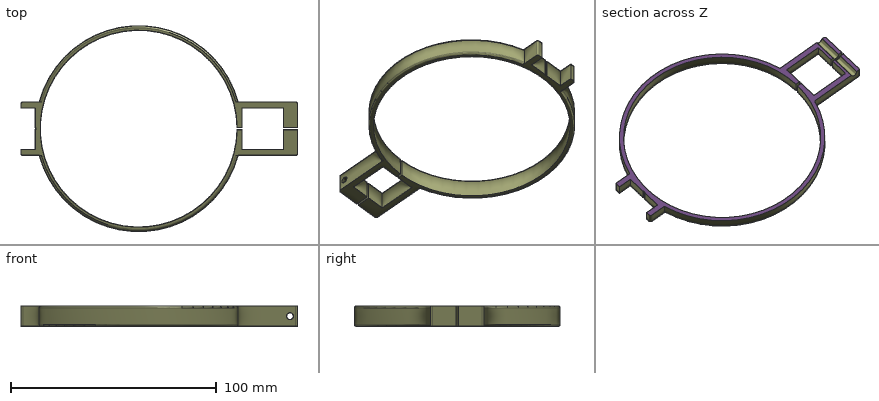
import cadquery as cq

height = 10.0
ring_outer_radius = 50.0
ring_inner_radius = 47.75
ring_edge_fillet = 1.0

tube_width = 20.0
arm_thickness = 3.0
block_width = tube_width + 2 * arm_thickness

tube_clearance = 0.25

split_gap = 1.0

fork_floor_x = -(ring_outer_radius + tube_clearance)
fork_length = 7.0
fork_end_x = fork_floor_x - fork_length
fork_corner_radius = 1.0

clamp_pocket_start_x = ring_outer_radius + tube_clearance
clamp_pocket_end_x = clamp_pocket_start_x + tube_width
clamp_end_wall = 7.0
clamp_end_x = clamp_pocket_end_x + clamp_end_wall
clamp_corner_radius = 1.0
screw_diameter = 3.2
screw_inset = 3.75
screw_x = clamp_end_x - screw_inset


def box_between(x_start, x_end, width):
    """Full-height box spanning x_start to x_end, centred on Y."""
    return cq.Workplane("XY").box(x_end - x_start, width, height).translate(
        ((x_start + x_end) / 2, 0, height / 2)
    )


def make_ring_disc():
    """Disc with both outer rims rounded; the bore is cut later."""
    disc = cq.Workplane("XY").circle(ring_outer_radius).extrude(height)
    return disc.edges("%CIRCLE").fillet(ring_edge_fillet)


def make_fork():
    block = box_between(fork_end_x, 0, block_width)
    block = block.edges("|Z and <X").fillet(fork_corner_radius)
    opening = box_between(fork_end_x, fork_floor_x, tube_width)
    groove = box_between(fork_floor_x, -ring_outer_radius, split_gap)
    return block.cut(opening).cut(groove)


def make_clamp():
    block = box_between(0, clamp_end_x, block_width)
    return block.edges("|Z and >X").fillet(clamp_corner_radius)


def make_clamp_cuts():
    """Tube pocket, split through both clamp walls, and the cross screw hole."""
    pocket = box_between(clamp_pocket_start_x, clamp_pocket_end_x, tube_width)
    split = box_between(0, clamp_end_x, split_gap)
    screw_hole = (
        cq.Workplane("XZ")
        .center(screw_x, height / 2)
        .circle(screw_diameter / 2)
        .extrude(block_width / 2, both=True)
    )
    return pocket.union(split).union(screw_hole)


bore = cq.Workplane("XY").circle(ring_inner_radius).extrude(height)

result = (
    make_ring_disc()
    .union(make_fork())
    .union(make_clamp())
    .cut(bore)
    .cut(make_clamp_cuts())
)